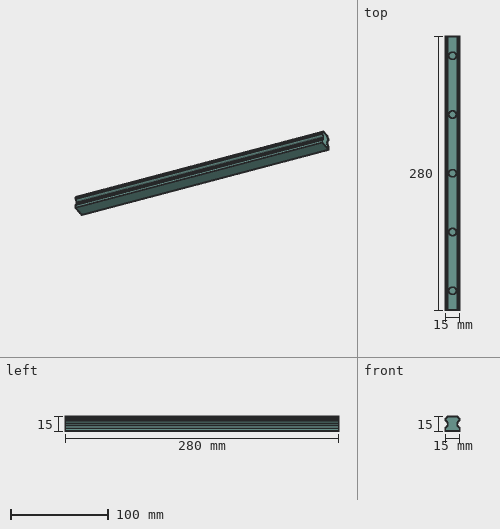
import cadquery as cq
import math

length = 280
width = 15.0
height = 15.0

foot_height = 3.0
waist_inset = 2.65

waist_top = 7.8

side_bottom = 11.5
side_top = 12.3
lip_inset = 0.5
lip_rise = 0.62
groove_width = 1.25
groove_height = 1.5
groove_radius = 1.7
top_inset = 2.65

seat_count = 5
seat_diameter = 7.5
seat_depth = 0.3
seat_end_distance = 20.0


def arc_middle(start, end, radius):
    """Middle point of the short arc that bows to the left of the way from start to end."""
    dx = end[0] - start[0]
    dz = end[1] - start[1]
    chord = math.hypot(dx, dz)
    bow = radius - math.sqrt(radius**2 - (chord / 2) ** 2)
    middle_x = (start[0] + end[0]) / 2 - bow * dz / chord
    middle_z = (start[1] + end[1]) / 2 + bow * dx / chord
    return middle_x, middle_z


def half_rail():
    """The +X half of the rail, cut at its middle plane."""
    side_x = width / 2
    waist_x = side_x - waist_inset
    groove_outer_x = side_x - lip_inset
    groove_inner_x = groove_outer_x - groove_width

    lower_groove_end = (groove_outer_x, side_bottom - lip_rise)
    lower_groove_start = (groove_inner_x, lower_groove_end[1] - groove_height)
    upper_groove_start = (groove_outer_x, side_top + lip_rise)
    upper_groove_end = (groove_inner_x, upper_groove_start[1] + groove_height)

    outline = (
        cq.Workplane("XZ")
        .lineTo(side_x, 0)
        .lineTo(side_x, foot_height)
        .lineTo(waist_x, foot_height + waist_inset)
        .lineTo(waist_x, waist_top)
        .lineTo(*lower_groove_start)
        .threePointArc(arc_middle(lower_groove_start, lower_groove_end, groove_radius), lower_groove_end)
        .lineTo(side_x, side_bottom)
        .lineTo(side_x, side_top)
        .lineTo(*upper_groove_start)
        .threePointArc(arc_middle(upper_groove_start, upper_groove_end, groove_radius), upper_groove_end)
        .lineTo(side_x - top_inset, height)
        .lineTo(0, height)
        .close()
    )
    return outline.extrude(length / 2, both=True)


def screw_seats():
    """One row of equally spaced discs, sunk into the top face."""
    pitch = (length - 2 * seat_end_distance) / (seat_count - 1)
    return (
        cq.Workplane("XY", origin=(0, 0, height - seat_depth))
        .rarray(2.8, pitch, 1, seat_count)
        .circle(seat_diameter / 2)
        .extrude(seat_depth)
    )


half = half_rail()
rail = half.union(half.mirror("YZ"))
result = rail.cut(screw_seats())